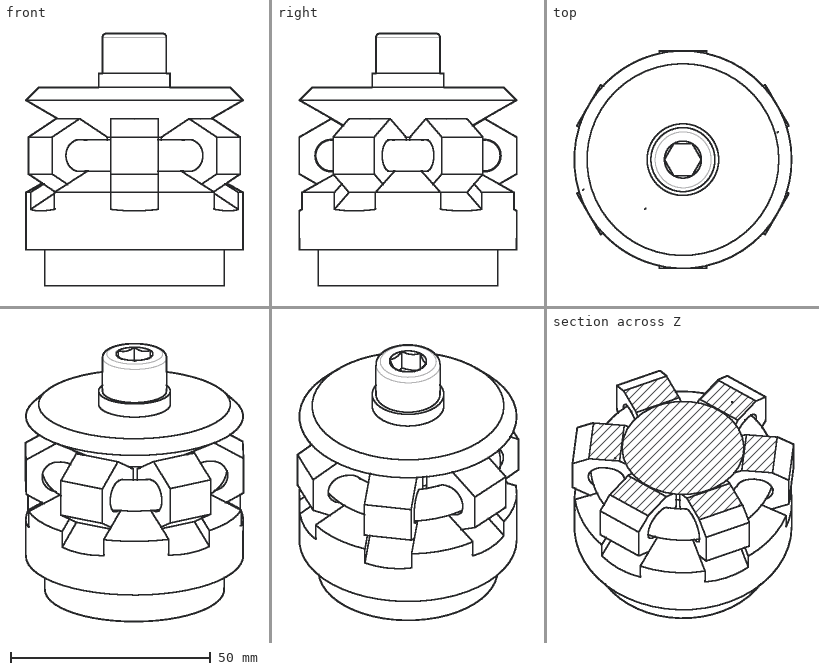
import cadquery as cq
import math

total_height = 63.2
rim_radius = 27.25
spigot_radius = 22.5
spigot_height = 9.0
slope = math.tan(math.radians(30))

jaw_count = 6
jaw_across_flats = 16.0
jaw_width = 11.9
jaw_mid_height = 32.6
jaw_corner_radius = jaw_across_flats / math.sqrt(3)
jaw_axis_radius = rim_radius - jaw_across_flats / 2
first_jaw_angle = 30
cut_overrun = 0.65

ring_wire_radius = 3.9
jaw_hole_radius = 4.0

core_radius = rim_radius - jaw_across_flats
cone_height = (rim_radius - core_radius) * slope
body_rim_height = jaw_mid_height - jaw_corner_radius
disc_rim_height = jaw_mid_height + jaw_corner_radius / 2 + cone_height
disc_bevel = 3.2

collar_radius = 9.0
head_radius = 8.0
head_height = 10.0
head_fillet = 1.0
socket_across_flats = 8.0
socket_depth = 5.0
socket_chamfer_angle = 45
socket_floor_angle = 30


def make_body_and_disc():
    """Spigot, body, core, top disc and collar as one turned profile."""
    disc_top = disc_rim_height + disc_bevel
    collar_top = total_height - head_height
    return (
        cq.Workplane("XZ")
        .lineTo(spigot_radius, 0)
        .lineTo(spigot_radius, spigot_height)
        .lineTo(rim_radius, spigot_height)
        .lineTo(rim_radius, body_rim_height)
        .lineTo(core_radius, body_rim_height + cone_height)
        .lineTo(core_radius, disc_rim_height - cone_height)
        .lineTo(rim_radius, disc_rim_height)
        .lineTo(rim_radius - disc_bevel, disc_top)
        .lineTo(collar_radius, disc_top)
        .lineTo(collar_radius, collar_top)
        .lineTo(0, collar_top)
        .close()
        .revolve(360, (0, 0, 0), (0, 1, 0))
    )


def tangent_prism(points):
    """Prism one jaw wide from a (radius, height) outline, centred on the +X direction."""
    return cq.Workplane("XZ").polyline(points).close().extrude(jaw_width / 2, both=True)


def make_jaw():
    half_flats = jaw_across_flats / 2
    half_side = jaw_corner_radius / 2
    offsets = [
        (half_flats, half_side),
        (0, jaw_corner_radius),
        (-half_flats, half_side),
        (-half_flats, -half_side),
        (0, -jaw_corner_radius),
        (half_flats, -half_side),
    ]
    block = tangent_prism([(jaw_axis_radius + r, jaw_mid_height + z) for r, z in offsets])
    hole = (
        cq.Workplane("XZ")
        .center(jaw_axis_radius, jaw_mid_height)
        .circle(jaw_hole_radius)
        .extrude(jaw_width / 2, both=True)
    )
    return block.cut(hole)


def make_slot():
    """Sloping channel in the body whose floor continues the jaw's lower inner face."""
    floor_inner = jaw_mid_height - jaw_corner_radius / 2
    slot_reach = rim_radius + cut_overrun
    floor_outer = floor_inner - (slot_reach - core_radius) * slope
    return tangent_prism([
        (core_radius, floor_inner),
        (slot_reach, floor_outer),
        (slot_reach, jaw_mid_height),
        (core_radius, jaw_mid_height),
    ])


def make_ring():
    return (
        cq.Workplane("XZ")
        .center(jaw_axis_radius, jaw_mid_height)
        .circle(ring_wire_radius)
        .revolve(360, (-jaw_axis_radius, 0, 0), (-jaw_axis_radius, 1, 0))
    )


def make_screw_head():
    return (
        cq.Workplane("XY", origin=(0, 0, total_height - head_height))
        .circle(head_radius)
        .extrude(head_height)
        .faces(">Z")
        .edges()
        .fillet(head_fillet)
    )


def cone_below(top_radius, height, angle):
    """Cone pointing down, with its wide end at the given height."""
    depth = top_radius * math.tan(math.radians(angle))
    return (
        cq.Workplane("XZ", origin=(0, 0, height))
        .lineTo(top_radius, 0)
        .lineTo(0, -depth)
        .close()
        .revolve(360, (0, 0, 0), (0, 1, 0))
    )


def make_socket():
    """Hexagonal socket with a countersunk mouth and a drill-point floor."""
    corner_radius = socket_across_flats / math.sqrt(3)
    floor_height = total_height - socket_depth
    hexagon = (
        cq.Workplane("XY", origin=(0, 0, total_height))
        .polygon(6, 2 * corner_radius)
        .extrude(-(socket_depth + corner_radius))
    )
    drilled_hole = (
        cq.Workplane("XY", origin=(0, 0, floor_height))
        .circle(corner_radius)
        .extrude(socket_depth)
        .union(cone_below(corner_radius, floor_height, socket_floor_angle))
    )
    mouth = cone_below(corner_radius, total_height, socket_chamfer_angle)
    return hexagon.intersect(drilled_hole).union(mouth)


result = make_body_and_disc()
jaw_angles = [first_jaw_angle + i * 360 / jaw_count for i in range(jaw_count)]
for angle in jaw_angles:
    result = result.cut(make_slot().rotate((0, 0, 0), (0, 0, 1), angle))
for angle in jaw_angles:
    result = result.union(make_jaw().rotate((0, 0, 0), (0, 0, 1), angle))
result = result.union(make_ring()).union(make_screw_head()).cut(make_socket())